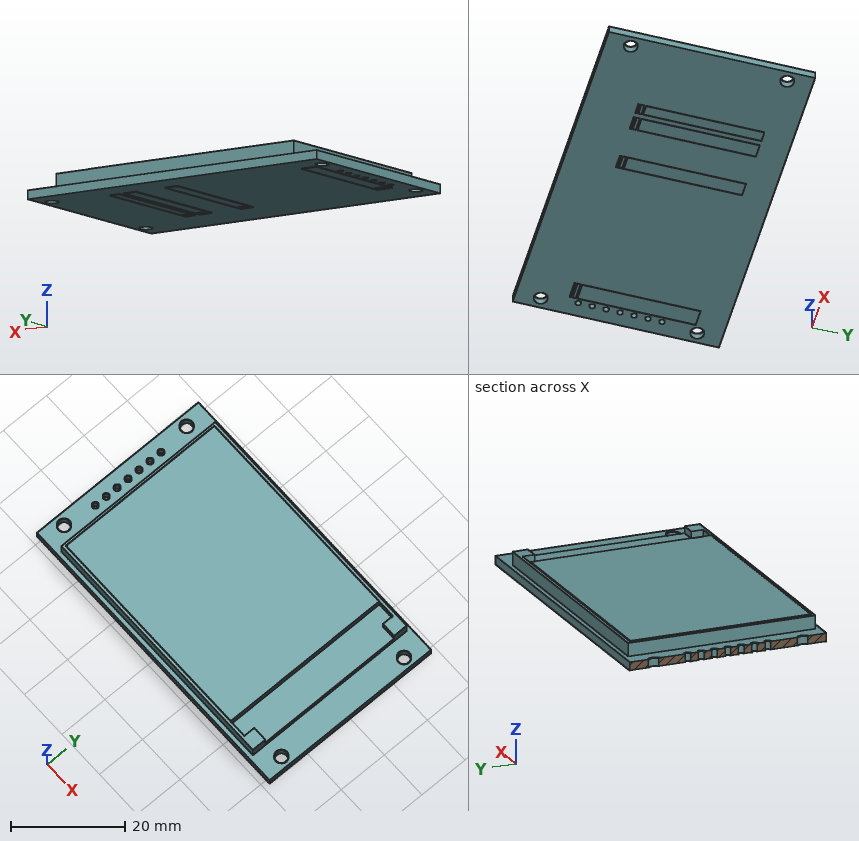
import cadquery as cq

BOARD_LENGTH = 62.0
BOARD_WIDTH = 37.5
BOARD_THICKNESS = 1.6

MOUNT_HOLE_DIAMETER = 2.4
MOUNT_RECESS_DIAMETER = 2.6
MOUNT_HOLE_SPACING_X = 57.9
MOUNT_HOLE_SPACING_Y = 28.45

PIN_HOLE_COUNT = 7
PIN_HOLE_DIAMETER = 1.0
PIN_RECESS_DIAMETER = 1.3
PIN_HOLE_PITCH = 2.55
PIN_ROW_X = -28.2

HOLE_RECESS_DEPTH = 0.1

MARK_HEIGHT = 0.1
MARK_ROWS_X = [(-27.2, -24.05), (2.6, 5.2), (11.5, 14.1), (15.05, 17.05)]
MARK_SPANS_Y = [(-9.5, -9.25), (-8.9, -8.4), (-8.05, 13.45)]

FRAME_LENGTH = 51.0
FRAME_WIDTH = 35.7
FRAME_HEIGHT = 2.5
PANEL_RISE = 0.2
PANEL_LENGTH = 43.95
SIDE_RIM = 0.6
END_RIM = 0.5

STRIP_DEPTH = 1.3
CORNER_BLOCK_LENGTH = 3.0
CORNER_BLOCK_WIDTH = 2.9

board_bottom = MARK_HEIGHT
board_top = board_bottom + BOARD_THICKNESS
frame_top = board_top + FRAME_HEIGHT
frame_end_x = FRAME_LENGTH / 2
panel_width = FRAME_WIDTH - 2 * SIDE_RIM
panel_start_x = -frame_end_x + END_RIM
panel_end_x = panel_start_x + PANEL_LENGTH


def block(x_range, y_range, z_range):
    """Box spanning the given (low, high) ranges along X, Y and Z."""
    ranges = (x_range, y_range, z_range)
    size = [high - low for low, high in ranges]
    corner = cq.Vector(*[low for low, high in ranges])
    return cq.Workplane("XY").box(*size, centered=False).translate(corner)


def centred(width):
    """Range of the given width about zero."""
    return (-width / 2, width / 2)


def make_board():
    """Board with its mounting holes, pin holes and underside marks."""
    board = block(centred(BOARD_LENGTH), centred(BOARD_WIDTH), (board_bottom, board_top))
    board = (
        board.faces(">Z").workplane(origin=(0, 0, board_top))
        .rect(MOUNT_HOLE_SPACING_X, MOUNT_HOLE_SPACING_Y, forConstruction=True)
        .vertices()
        .cboreHole(MOUNT_HOLE_DIAMETER, MOUNT_RECESS_DIAMETER, HOLE_RECESS_DEPTH)
    )
    board = (
        board.faces(">Z").workplane(origin=(PIN_ROW_X, 0, board_top))
        .rarray(0.6, PIN_HOLE_PITCH, 1, PIN_HOLE_COUNT)
        .cboreHole(PIN_HOLE_DIAMETER, PIN_RECESS_DIAMETER, HOLE_RECESS_DEPTH)
    )
    for row_x in MARK_ROWS_X:
        for span_y in MARK_SPANS_Y:
            board = board.union(block(row_x, span_y, (0, board_bottom)))
    return board


def make_display():
    """Frame with its raised panel and the recessed strip at the +X end."""
    frame = block(centred(FRAME_LENGTH), centred(FRAME_WIDTH), (board_top, frame_top))
    panel = block(
        (panel_start_x, panel_end_x), centred(panel_width), (frame_top, frame_top + PANEL_RISE)
    )
    strip_z = (frame_top - STRIP_DEPTH, frame_top)
    block_start_x = frame_end_x - CORNER_BLOCK_LENGTH
    between_blocks = FRAME_WIDTH - 2 * CORNER_BLOCK_WIDTH
    wide_strip = block((panel_end_x, block_start_x), centred(panel_width), strip_z)
    open_end = block((block_start_x, frame_end_x), centred(between_blocks), strip_z)
    return frame.cut(wide_strip).cut(open_end).union(panel)


board = make_board()
display = make_display()

result = cq.Compound.makeCompound([board.val(), display.val()])